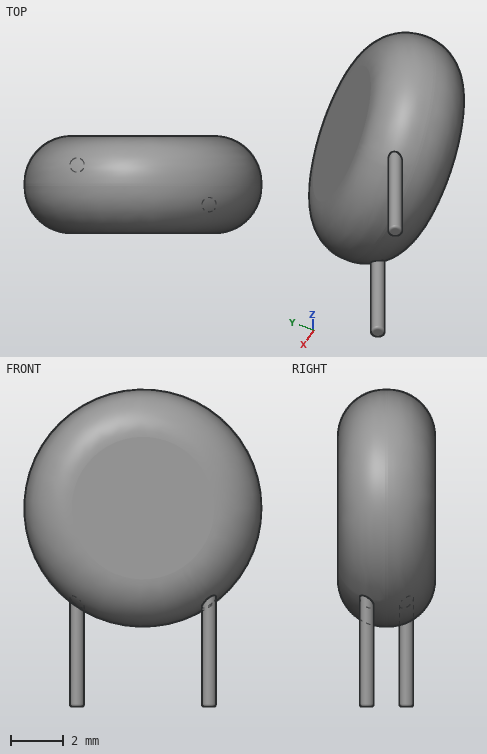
import cadquery as cq

body_diameter = 9.0
body_thickness = 3.7
rim_band_width = 0.1
rim_radius = (body_thickness - rim_band_width) / 2

lead_diameter = 0.54
lead_pitch_x = 5.0
lead_pitch_y = 1.5
lead_length_below_body = 3.03
lead_tip_fillet = 0.1
lead_top_z = -body_diameter / 4
lead_bottom_z = -body_diameter / 2 - lead_length_below_body


def make_body():
    """Puck with both rims rounded, leaving a narrow band at mid thickness."""
    puck = cq.Workplane("XZ").circle(body_diameter / 2).extrude(body_thickness / 2, both=True)
    return puck.edges("%CIRCLE").fillet(rim_radius)


def make_lead(x, y):
    """Vertical round lead with a rounded lower tip."""
    lead = (
        cq.Workplane("XY", origin=(x, y, lead_bottom_z))
        .circle(lead_diameter / 2)
        .extrude(lead_top_z - lead_bottom_z)
    )
    return lead.faces("<Z").edges().fillet(lead_tip_fillet)


result = make_body()
for side in (-1, 1):
    result = result.union(make_lead(side * lead_pitch_x / 2, -side * lead_pitch_y / 2))